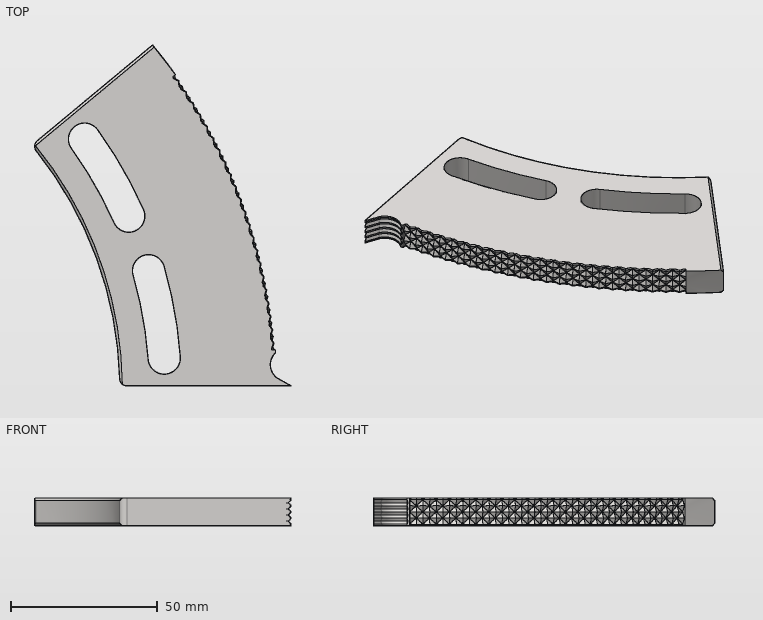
import cadquery as cq
import math

thickness = 9.5
centre_x = -101.5
centre_y = -1.2
inner_radius = 130.3
outer_radius = 183.9
end_angle = 39.7
edge_chamfer = 0.9
corner_radius = 2.6

slot_radius = 145.9
slot_width = 10.9
slot_middle_angle = 20.0
slot_near_offset = 3.9
slot_far_offset = 15.8

spur_tip_x = 87.3
spur_tip_y = 0.1
spur_arc_end = (82.5, 2.8)
spur_arc_middle = (80.3, 7.2)
spur_arc_start_angle = 3.9

row_pitch = 2.1
spur_groove_depth = 0.52
knurl_groove_depth = 1.4
knurl_start_angle = 4.2
knurl_end_angle = 35.7
knurl_period_count = 22
knurl_groove_width = 4.2
spur_groove_count = 4
clearance = 1.2

middle_angle = end_angle / 2
half_thickness = thickness / 2


def polar(radius, angle):
    """Point at a radius and an angle in degrees about the common centre."""
    a = math.radians(angle)
    return (centre_x + radius * math.cos(a), centre_y + radius * math.sin(a))


def angle_at_base(radius):
    """Angle at which an arc of this radius meets the base line y = 0."""
    return math.degrees(math.asin(-centre_y / radius))


def spur_line_end(distance):
    """Point on the straight flank of the spur, a distance beyond its tip."""
    dx = spur_tip_x - spur_arc_end[0]
    dy = spur_tip_y - spur_arc_end[1]
    length = math.hypot(dx, dy)
    return (spur_tip_x + dx / length * distance, spur_tip_y + dy / length * distance)


def make_blank():
    inner_start = polar(inner_radius, angle_at_base(inner_radius))
    return (
        cq.Workplane("XY")
        .workplane(offset=-half_thickness)
        .moveTo(*inner_start)
        .lineTo(spur_tip_x, 0)
        .lineTo(spur_tip_x, spur_tip_y)
        .lineTo(*spur_arc_end)
        .threePointArc(spur_arc_middle, polar(outer_radius, spur_arc_start_angle))
        .threePointArc(polar(outer_radius, middle_angle), polar(outer_radius, end_angle))
        .lineTo(*polar(inner_radius, end_angle))
        .threePointArc(polar(inner_radius, middle_angle), inner_start)
        .close()
        .extrude(thickness)
    )


def edge_near(plate, point, z):
    """The edge of the plate that passes through a given point."""
    target = cq.Vertex.makeVertex(point[0], point[1], z)
    return min(plate.edges().vals(), key=target.distance)


def make_plate():
    """Chamfer the inner arc and the radial end, and round the inner corners."""
    blank = make_blank()
    corners = [
        edge_near(blank, polar(inner_radius, angle), 0)
        for angle in (angle_at_base(inner_radius), end_angle)
    ]
    rounded = blank.newObject(corners).fillet(corner_radius)
    side_middles = [
        polar(inner_radius, middle_angle),
        polar((inner_radius + outer_radius) / 2, end_angle),
    ]
    chamfer_edges = [
        edge_near(blank, point, z)
        for point in side_middles
        for z in (-half_thickness, half_thickness)
    ]
    chamfered = blank.newObject(chamfer_edges).chamfer(edge_chamfer)
    return rounded.intersect(chamfered)


def make_slot(start_angle, stop_angle):
    inner = slot_radius - slot_width / 2
    outer = slot_radius + slot_width / 2
    middle = (start_angle + stop_angle) / 2
    cap_angle = math.degrees(slot_width / 2 / slot_radius)
    return (
        cq.Workplane("XY")
        .moveTo(*polar(inner, start_angle))
        .threePointArc(polar(slot_radius, start_angle - cap_angle), polar(outer, start_angle))
        .threePointArc(polar(outer, middle), polar(outer, stop_angle))
        .threePointArc(polar(slot_radius, stop_angle + cap_angle), polar(inner, stop_angle))
        .threePointArc(polar(inner, middle), polar(inner, start_angle))
        .close()
        .extrude(thickness, both=True)
    )


def make_knurl_zone():
    """Angular band along the outer arc that limits the knurl."""
    reach = outer_radius + 2 * clearance
    root = outer_radius - 2 * clearance
    return (
        cq.Workplane("XY")
        .moveTo(*polar(root, knurl_start_angle))
        .lineTo(*polar(reach, knurl_start_angle))
        .threePointArc(polar(reach, middle_angle), polar(reach, knurl_end_angle))
        .lineTo(*polar(root, knurl_end_angle))
        .threePointArc(polar(root, middle_angle), polar(root, knurl_start_angle))
        .close()
        .extrude(thickness, both=True)
    )


def make_vee(plane):
    """V groove cutter: plane x points outward, the groove runs along its normal."""
    half_mouth = knurl_groove_width / 2 * (knurl_groove_depth + clearance) / knurl_groove_depth
    return (
        cq.Workplane(plane)
        .moveTo(-knurl_groove_depth, 0)
        .lineTo(clearance, half_mouth)
        .lineTo(clearance, -half_mouth)
        .close()
        .extrude(thickness, both=True)
    )


def make_knurl():
    """Two crossing families of slanted grooves that leave staggered diamond teeth."""
    period_angle = (knurl_end_angle - knurl_start_angle) / knurl_period_count
    half_period = outer_radius * math.radians(period_angle) / 2
    cutters = []
    for index in range(-1, knurl_period_count + 2):
        angle = knurl_start_angle + index * period_angle
        x, y = polar(outer_radius, angle)
        a = math.radians(angle)
        for side in (-1, 1):
            direction = (
                -math.sin(a) * half_period * side,
                math.cos(a) * half_period * side,
                row_pitch,
            )
            plane = cq.Plane((x, y, 0), (math.cos(a), math.sin(a), 0), direction)
            cutters.append(make_vee(plane).val())
    zone = make_knurl_zone().val()
    return [zone.intersect(cutter) for cutter in cutters]


def make_spur_groove(z):
    """V groove that follows the straight and hollow flanks of the spur."""
    start = spur_line_end(clearance)
    dx = spur_arc_end[0] - start[0]
    dy = spur_arc_end[1] - start[1]
    path = (
        cq.Workplane("XY")
        .workplane(offset=z)
        .moveTo(*start)
        .lineTo(*spur_arc_end)
        .threePointArc(spur_arc_middle, polar(outer_radius, spur_arc_start_angle))
    )
    plane = cq.Plane((start[0], start[1], z), (-dy, dx, 0), (dx, dy, 0))
    profile = (
        cq.Workplane(plane)
        .moveTo(spur_groove_depth, 0)
        .lineTo(0, row_pitch / 2)
        .lineTo(-clearance, row_pitch / 2)
        .lineTo(-clearance, -row_pitch / 2)
        .lineTo(0, -row_pitch / 2)
        .close()
    )
    return profile.sweep(path, transition="right")


result = make_plate()

for direction in (-1, 1):
    near = slot_middle_angle + direction * slot_near_offset
    far = slot_middle_angle + direction * slot_far_offset
    result = result.cut(make_slot(min(near, far), max(near, far)))

for groove_index in range(spur_groove_count):
    groove_z = (groove_index - (spur_groove_count - 1) / 2) * row_pitch
    result = result.cut(make_spur_groove(groove_z))

result = cq.Workplane(result.val().cut(*make_knurl()))